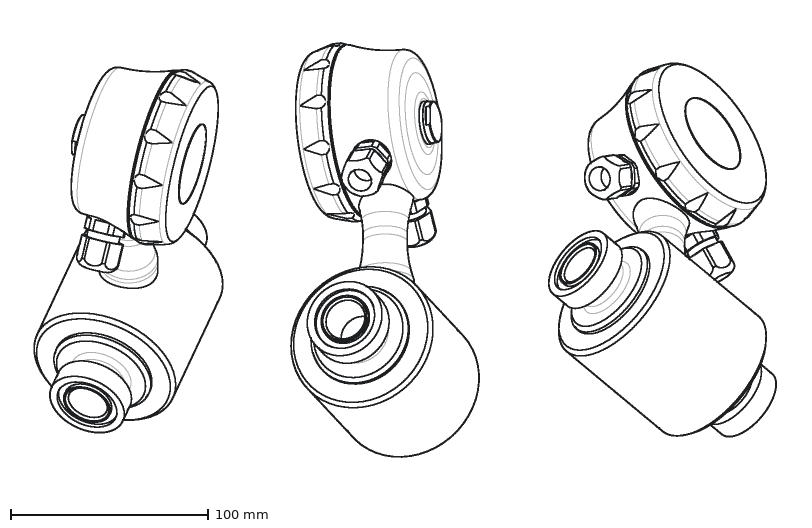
import cadquery as cq
import math


BODY_DIA = 76.0
BODY_LENGTH = 77.1
COLLAR_DIA = 52.0
COLLAR_LENGTH = 84.7
EDGE_CHAMFER = 2.1
PIPE_DIA = 27.0
PIPE_ROOT_DIA = 32.0
TUBE_LENGTH = 128.0
FLANGE_DIA = 40.0
FLANGE_THICKNESS = 11.2

GROOVE_OUTER_DIA = 32.0
GROOVE_INNER_DIA = 25.0
GROOVE_DEPTH = 2.1
BORE_DIA = 20.9
BORE_MOUTH_DIA = 23.5
BORE_DEPTH = 25.3

NECK_FOOT_RADIUS = 15.0
NECK_SHOULDER_RADIUS = 14.8
NECK_CONE_TOP_RADIUS = 26.8 / 2
NECK_WAIST_RADIUS = 22.5 / 2
NECK_FLARE_START_RADIUS = 23.8 / 2
NECK_FLARE_RADIUS = 15.0
NECK_FOOT_TOP = 41.7
NECK_CONE_BOTTOM = 44.3
NECK_CONE_TOP = 49.0
NECK_WAIST_BOTTOM = 65.3
NECK_WAIST_TOP = 69.8
NECK_FLARE_START = 77.4
NECK_FLARE_TOP = 90.6
NECK_END = 105.4

HEAD_HEIGHT = 127.3
BUTTON_RADIUS = 10.5
BUTTON_BASE_RADIUS = 11.0
BUTTON_STEP_X = -23.8
BUTTON_RIM_X = -27.2
BUTTON_TIP_X = -27.8
BUTTON_CHAMFER = 0.5
BUTTON_FLATS_WIDTH = 18.5
BUTTON_FLATS_END_X = -25.0
BACK_RING_X = -22.0
BACK_RING_RADIUS = 25.0 / 2
BACK_CONE_TOP_X = -21.0
BACK_CONE_TOP_RADIUS = 32.0 / 2
BACK_CONE_FOOT_X = -19.4
BACK_CONE_FOOT_RADIUS = 52.0 / 2
BACK_EDGE_X = -18.8
BACK_EDGE_RADIUS = 67.2 / 2
SHELL_START_X = -14.3
SHELL_START_RADIUS = 38.4
SHELL_MID_X = 0.0
SHELL_MID_RADIUS = 39.8
SHELL_END_X = 14.8
SHELL_END_RADIUS = 44.3
SEAM_WIDTH = 0.8
SEAM_DEPTH = 0.6
RIDGE_START_X = 18.8
RIDGE_END_X = 21.5
RIDGE_RADIUS = 45.5
COVER_CONE_END_X = 31.5
COVER_CONE_END_RADIUS = 42.8
COVER_FACE_X = 34.1
COVER_FACE_RADIUS = 40.7
WINDOW_RADIUS = 20.9
WINDOW_HEIGHT = 0.5

SCALLOP_COUNT = 12
SCALLOP_TIP_X = 30.8
SCALLOP_TIP_RADIUS = 42.8
SCALLOP_HALF_ANGLE = 29.0
SCALLOP_LENGTH = 19.0
SCALLOP_HEEL_X = 16.9
SCALLOP_HEEL_RADIUS = 44.7

GLAND_X = -2.0
GLAND_ANGLE = 45.0
GLAND_START = 25.3
FITTING_HEX_START = 39.0
FITTING_HEX_END = 44.9
FITTING_DIA = 20.9
FITTING_FLATS = 19.4
STEM_DIA = 16.7
NUT_START = 48.7
NUT_ROUND_START = 59.6
NUT_ROUND_MID = 62.0
NUT_ROUND_MID_RADIUS = 10.0
NUT_END = 64.3
NUT_DIA = 22.0
NUT_FLATS = 19.8
CABLE_HOLE_DIA = 12.0
CABLE_HOLE_DEPTH = 12.6


def y_cylinder(diameter, length):
    """Cylinder on the tube axis, centred on the origin."""
    return cq.Workplane("XZ", origin=(0, length / 2, 0)).circle(diameter / 2).extrude(length)


def make_tube():
    """Flow tube: body, collars, pipe stubs and bored end flanges."""
    body = y_cylinder(BODY_DIA, BODY_LENGTH).edges().chamfer(EDGE_CHAMFER)
    collar = y_cylinder(COLLAR_DIA, COLLAR_LENGTH).edges("%CIRCLE").chamfer(EDGE_CHAMFER)
    tube = body.union(collar).union(y_cylinder(PIPE_DIA, TUBE_LENGTH))

    root_face = COLLAR_LENGTH / 2
    root_fillet = (PIPE_ROOT_DIA - PIPE_DIA) / 2
    root = (
        cq.Workplane("XY")
        .moveTo(0, root_face)
        .lineTo(PIPE_ROOT_DIA / 2, root_face)
        .radiusArc((PIPE_DIA / 2, root_face + root_fillet), root_fillet)
        .lineTo(0, root_face + root_fillet)
        .close()
        .revolve(360, (0, 0), (0, 1))
    )
    end_y = TUBE_LENGTH / 2
    flange = (
        cq.Workplane("XZ", origin=(0, end_y, 0))
        .circle(FLANGE_DIA / 2)
        .extrude(FLANGE_THICKNESS)
    )
    groove = (
        cq.Workplane("XZ", origin=(0, end_y, 0))
        .circle(GROOVE_OUTER_DIA / 2)
        .circle(GROOVE_INNER_DIA / 2)
        .extrude(GROOVE_DEPTH)
    )
    mouth_depth = (BORE_MOUTH_DIA - BORE_DIA) / 2
    bore = (
        cq.Workplane("XY")
        .moveTo(0, end_y)
        .lineTo(BORE_MOUTH_DIA / 2, end_y)
        .lineTo(BORE_DIA / 2, end_y - mouth_depth)
        .lineTo(BORE_DIA / 2, end_y - BORE_DEPTH)
        .lineTo(0, end_y - BORE_DEPTH)
        .close()
        .revolve(360, (0, 0), (0, 1))
    )
    additions = root.union(flange)
    cuts = groove.union(bore)
    tube = tube.union(additions).union(additions.mirror("XZ"))
    return tube.cut(cuts).cut(cuts.mirror("XZ"))


def make_neck():
    """Waisted neck, carried on into the body below and the head above."""
    lower_mid_radius = NECK_WAIST_RADIUS + (NECK_CONE_TOP_RADIUS - NECK_WAIST_RADIUS) / 4
    lower_mid_height = (NECK_CONE_TOP + NECK_WAIST_BOTTOM) / 2
    return (
        cq.Workplane("XZ")
        .lineTo(NECK_FOOT_RADIUS, 0)
        .lineTo(NECK_FOOT_RADIUS, NECK_FOOT_TOP)
        .tangentArcPoint((NECK_SHOULDER_RADIUS, NECK_CONE_BOTTOM), relative=False)
        .lineTo(NECK_CONE_TOP_RADIUS, NECK_CONE_TOP)
        .threePointArc(
            (lower_mid_radius, lower_mid_height),
            (NECK_WAIST_RADIUS, NECK_WAIST_BOTTOM),
        )
        .lineTo(NECK_WAIST_RADIUS, NECK_WAIST_TOP)
        .tangentArcPoint((NECK_FLARE_START_RADIUS, NECK_FLARE_START), relative=False)
        .tangentArcPoint((NECK_FLARE_RADIUS, NECK_FLARE_TOP), relative=False)
        .lineTo(NECK_FLARE_RADIUS, NECK_END)
        .lineTo(0, NECK_END)
        .close()
        .revolve(360, (0, 0), (0, 1))
    )


def head_plane():
    """Workplane parallel to XZ with its origin on the head axis."""
    return cq.Workplane("XZ", origin=(0, 0, HEAD_HEIGHT))


def make_head():
    """Head turned about its own axis, then notched and flatted."""
    seam_radius = SHELL_END_RADIUS - SEAM_DEPTH
    seam_end_x = SHELL_END_X + SEAM_WIDTH
    round_x = SHELL_START_X - (SHELL_START_X - BACK_EDGE_X) * math.sin(math.pi / 4)
    round_radius = BACK_EDGE_RADIUS + (SHELL_START_RADIUS - BACK_EDGE_RADIUS) * math.sin(math.pi / 4)
    window_x = COVER_FACE_X + WINDOW_HEIGHT
    profile = (
        head_plane()
        .moveTo(BUTTON_TIP_X, 0)
        .lineTo(BUTTON_RIM_X, BUTTON_RADIUS - BUTTON_CHAMFER)
        .lineTo(BUTTON_RIM_X + BUTTON_CHAMFER, BUTTON_RADIUS)
        .lineTo(BUTTON_STEP_X, BUTTON_RADIUS)
        .lineTo(BUTTON_STEP_X, BUTTON_BASE_RADIUS)
        .lineTo(BACK_RING_X, BUTTON_BASE_RADIUS)
        .lineTo(BACK_RING_X, BACK_RING_RADIUS)
        .lineTo(BACK_CONE_TOP_X, BACK_CONE_TOP_RADIUS)
        .lineTo(BACK_CONE_FOOT_X, BACK_CONE_FOOT_RADIUS)
        .lineTo(BACK_EDGE_X, BACK_EDGE_RADIUS)
        .threePointArc((round_x, round_radius), (SHELL_START_X, SHELL_START_RADIUS))
        .threePointArc((SHELL_MID_X, SHELL_MID_RADIUS), (SHELL_END_X, SHELL_END_RADIUS))
        .lineTo(SHELL_END_X, seam_radius)
        .lineTo(seam_end_x, seam_radius)
        .lineTo(seam_end_x, SHELL_END_RADIUS)
        .lineTo(RIDGE_START_X, RIDGE_RADIUS)
        .lineTo(RIDGE_END_X, RIDGE_RADIUS)
        .lineTo(COVER_CONE_END_X, COVER_CONE_END_RADIUS)
        .tangentArcPoint((COVER_FACE_X, COVER_FACE_RADIUS), relative=False)
        .lineTo(COVER_FACE_X, WINDOW_RADIUS)
        .lineTo(window_x, WINDOW_RADIUS)
        .lineTo(window_x, 0)
        .close()
    )
    head = profile.revolve(360, (0, 0), (1, 0))
    return cut_scallops(head).cut(make_button_flats())


def cut_scallops(head):
    """Cut conical notches, each with its point just under the end of the cover cone."""
    tip = cq.Vector(SCALLOP_TIP_X, SCALLOP_TIP_RADIUS)
    heel_rise = SCALLOP_HEEL_RADIUS - SCALLOP_TIP_RADIUS
    heel_run = SCALLOP_TIP_X - SCALLOP_HEEL_X
    half_angle = math.radians(SCALLOP_HALF_ANGLE)
    tilt = math.atan2(heel_rise, heel_run) + half_angle
    axis = cq.Vector(-math.cos(tilt), math.sin(tilt))
    across = cq.Vector(math.sin(tilt), math.cos(tilt))
    base_center = tip + axis * SCALLOP_LENGTH
    base_rim = base_center + across * (SCALLOP_LENGTH * math.tan(half_angle))
    scallop = (
        head_plane()
        .moveTo(tip.x, tip.y)
        .lineTo(base_center.x, base_center.y)
        .lineTo(base_rim.x, base_rim.y)
        .close()
        .revolve(360, (tip.x, tip.y), (base_center.x, base_center.y))
    )
    axis_start = (0, 0, HEAD_HEIGHT)
    axis_end = (1, 0, HEAD_HEIGHT)
    for index in range(SCALLOP_COUNT):
        head = head.cut(scallop.rotate(axis_start, axis_end, index * 360 / SCALLOP_COUNT))
    return head


def make_button_flats():
    """Waste beside the two flats at the tip of the button."""
    waste_width = BUTTON_RADIUS - BUTTON_FLATS_WIDTH / 2
    waste_center = BUTTON_RADIUS - waste_width / 2
    return (
        cq.Workplane("YZ", origin=(BUTTON_TIP_X, 0, HEAD_HEIGHT))
        .pushPoints([(-waste_center, 0), (waste_center, 0)])
        .rect(waste_width, 2 * BUTTON_RADIUS)
        .extrude(BUTTON_FLATS_END_X - BUTTON_TIP_X)
    )


def hex_prism(flats, start, end):
    """Hexagon along Z with two corners on the X axis."""
    return (
        cq.Workplane("XY", origin=(0, 0, start))
        .polygon(6, flats / math.cos(math.pi / 6))
        .extrude(end - start)
    )


def z_cylinder(diameter, start, end):
    """Cylinder on the Z axis between two heights."""
    return cq.Workplane("XY", origin=(0, 0, start)).circle(diameter / 2).extrude(end - start)


def make_gland():
    """Cable gland pointing along +Z, measured from the head axis."""
    shank = z_cylinder(FITTING_DIA, GLAND_START, FITTING_HEX_START)
    fitting = z_cylinder(FITTING_DIA, FITTING_HEX_START, FITTING_HEX_END)
    fitting = fitting.intersect(hex_prism(FITTING_FLATS, FITTING_HEX_START, FITTING_HEX_END))
    stem = z_cylinder(STEM_DIA, FITTING_HEX_END, NUT_START)
    nut = (
        cq.Workplane("XZ")
        .moveTo(0, NUT_START)
        .lineTo(NUT_DIA / 2, NUT_START)
        .lineTo(NUT_DIA / 2, NUT_ROUND_START)
        .threePointArc((NUT_ROUND_MID_RADIUS, NUT_ROUND_MID), (CABLE_HOLE_DIA / 2, NUT_END))
        .lineTo(0, NUT_END)
        .close()
        .revolve(360, (0, 0), (0, 1))
        .intersect(hex_prism(NUT_FLATS, NUT_START, NUT_END))
    )
    hole = z_cylinder(CABLE_HOLE_DIA, NUT_END - CABLE_HOLE_DEPTH, NUT_END)
    return shank.union(fitting).union(stem).union(nut).cut(hole)


def place_gland(side):
    """Tilt a gland down towards -Y (side = -1) or +Y (side = 1)."""
    tilt = -side * (180 - GLAND_ANGLE)
    gland = make_gland().rotate((0, 0, 0), (1, 0, 0), tilt)
    return gland.translate((GLAND_X, 0, HEAD_HEIGHT))


result = make_tube().union(make_neck()).union(make_head())
for gland_side in (-1, 1):
    result = result.union(place_gland(gland_side))